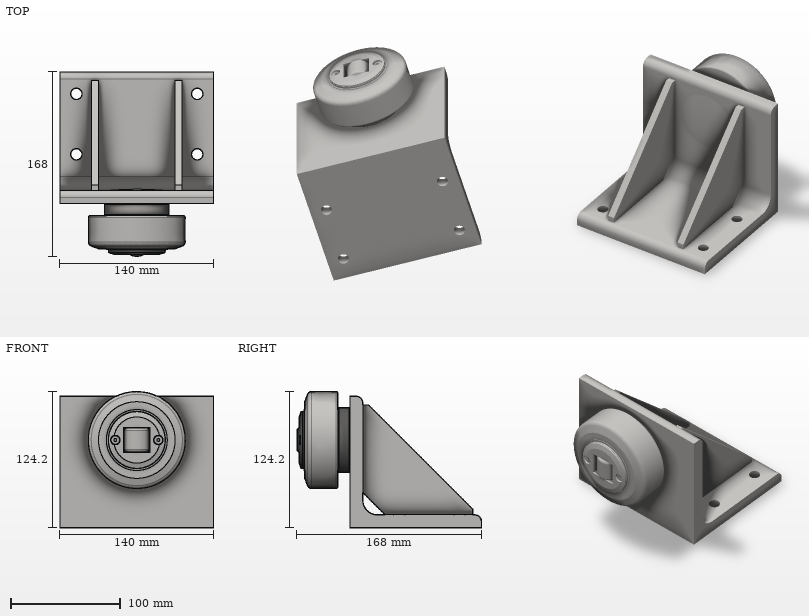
import cadquery as cq
import math

bracket_width = 140.0
leg_length = 120.0
leg_thickness = 12.0
inner_radius = 13.0
toe_radius = 6.5

mount_hole_diameter = 10.11
mount_hole_half_spacing = 55.0
mount_hole_rows = (45.0, 100.0)

gusset_thickness = 6.5
gusset_center_x = 38.0
gusset_side = 100.0
gusset_tip_width = 5.0
gusset_corner_cut = 20.0

axis_height = 80.0
hub_diameter = 59.0
hub_length = 10.1
hub_chamfer = 0.5
neck_diameter = 55.3
tyre_back = 10.8
tyre_face = 41.0
tyre_diameter = 88.4
tyre_crown = 0.12
tyre_back_round = 1.8
tyre_cone_radius = 34.9
tyre_cone_angle = 20.5
tyre_front_round = 4.0
retainer_diameter = 55.5
retainer_face = 41.5
cap_diameter = 52.0
cap_step = 0.2
cap_step_position = 43.2
cap_bevel_start = 44.4
cap_face = 46.0
cap_face_radius = 21.0

dome_diameter = neck_diameter
dome_height = 1.4

window_width = 24.0
window_height = 22.6
side_roller_radius = 11.5
side_roller_length = 22.2
side_roller_round = 2.6
side_roller_reach = 48.0

screw_hole_diameter = 8.6
screw_head_diameter = 7.8
screw_socket_diameter = 2.6
screw_center_x = 19.6
screw_hole_depth = 2.5
screw_head_recess = 1.5
screw_socket_depth = 0.5


def axial_cylinder(diameter, start, end, x=0.0):
    """Cylinder parallel to the roller axis between two distances from the wall."""
    return (
        cq.Workplane("XZ", origin=(x, -start, axis_height))
        .circle(diameter / 2)
        .extrude(end - start)
    )


def revolve_about_axis(profile):
    """Revolve a YZ profile, drawn with the roller axis as local Y = 0."""
    return profile.close().revolve(360, (0, 0, 0), (1, 0, 0))


def axis_plane():
    return cq.Workplane("YZ", origin=(0, 0, axis_height))


def make_bracket():
    angle = (
        cq.Workplane("YZ")
        .polyline([
            (0, 0),
            (leg_length, 0),
            (leg_length, leg_thickness),
            (leg_thickness, leg_thickness),
            (leg_thickness, leg_length),
            (0, leg_length),
        ])
        .close()
        .extrude(bracket_width / 2, both=True)
    )
    inner_edge = cq.NearestToPointSelector((0, leg_thickness, leg_thickness))
    base_toe = cq.NearestToPointSelector((0, leg_length, leg_thickness))
    wall_toe = cq.NearestToPointSelector((0, leg_thickness, leg_length))
    angle = angle.edges(inner_edge).fillet(inner_radius)
    angle = angle.edges(base_toe).fillet(toe_radius)
    angle = angle.edges(wall_toe).fillet(toe_radius)
    hole_points = [
        (side * mount_hole_half_spacing, y)
        for side in (-1, 1)
        for y in mount_hole_rows
    ]
    holes = (
        cq.Workplane("XY")
        .pushPoints(hole_points)
        .circle(mount_hole_diameter / 2)
        .extrude(leg_thickness)
    )
    return angle.cut(holes)


def make_gusset(center_x):
    near = leg_thickness
    far = leg_thickness + gusset_side
    tip = leg_thickness + gusset_tip_width
    cut = leg_thickness + gusset_corner_cut
    return (
        cq.Workplane("YZ", origin=(center_x, 0, 0))
        .polyline([(near, cut), (near, far), (tip, far), (far, tip), (far, near), (cut, near)])
        .close()
        .extrude(gusset_thickness / 2, both=True)
    )


def make_dome():
    """Shallow spherical cap standing on the inner face of the wall."""
    sphere_radius = (dome_diameter**2 / 4 + dome_height**2) / (2 * dome_height)
    sphere_center = leg_thickness + dome_height - sphere_radius
    sphere = cq.Workplane("XY", origin=(0, sphere_center, axis_height)).sphere(sphere_radius)
    blank = axial_cylinder(dome_diameter, -leg_thickness - dome_height, -leg_thickness / 2)
    return blank.intersect(sphere)


def make_hub():
    return axial_cylinder(hub_diameter, 0, hub_length).edges("%CIRCLE").chamfer(hub_chamfer)


def make_tyre():
    """Crowned main roller with a rounded back edge and a conical front."""
    edge_radius = tyre_diameter / 2 - tyre_crown
    cone_depth = (edge_radius - tyre_cone_radius) * math.tan(math.radians(tyre_cone_angle))
    cone_edge = tyre_face - cone_depth
    tyre = revolve_about_axis(
        axis_plane()
        .moveTo(-tyre_back, 0)
        .lineTo(-tyre_back, edge_radius)
        .threePointArc((-(tyre_back + cone_edge) / 2, tyre_diameter / 2), (-cone_edge, edge_radius))
        .lineTo(-tyre_face, tyre_cone_radius)
        .lineTo(-tyre_face, 0)
    )
    back_edge = cq.NearestToPointSelector((0, -tyre_back, axis_height))
    front_edge = cq.NearestToPointSelector((0, -cone_edge, axis_height))
    return tyre.edges(back_edge).fillet(tyre_back_round).edges(front_edge).fillet(tyre_front_round)


def make_cap():
    cap_radius = cap_diameter / 2
    stepped_radius = cap_radius - cap_step
    return revolve_about_axis(
        axis_plane()
        .moveTo(-tyre_back, 0)
        .lineTo(-tyre_back, cap_radius)
        .lineTo(-cap_step_position, cap_radius)
        .lineTo(-cap_step_position, stepped_radius)
        .lineTo(-cap_bevel_start, stepped_radius)
        .lineTo(-cap_face, cap_face_radius)
        .lineTo(-cap_face, 0)
    )


def make_window():
    """Rectangular pocket reaching down to the side roller's own axis."""
    depth = cap_face - (side_roller_reach - side_roller_radius)
    return (
        cq.Workplane("XZ", origin=(0, -cap_face, axis_height))
        .rect(window_width, window_height)
        .extrude(-depth)
    )


def make_side_roller():
    """Vertical roller whose front stands out of the cap window."""
    center_y = side_roller_radius - side_roller_reach
    return (
        cq.Workplane("XY", origin=(0, center_y, axis_height - side_roller_length / 2))
        .circle(side_roller_radius)
        .extrude(side_roller_length)
        .edges("%CIRCLE")
        .fillet(side_roller_round)
    )


def make_screw_cut(x):
    """Space around and above one sunken screw head, including its socket."""
    floor = cap_face - screw_hole_depth
    head_face = cap_face - screw_head_recess
    hole = axial_cylinder(screw_hole_diameter, floor, cap_face, x)
    head = axial_cylinder(screw_head_diameter, floor, head_face, x)
    socket = axial_cylinder(screw_socket_diameter, head_face - screw_socket_depth, head_face, x)
    return hole.cut(head).union(socket)


def make_roller():
    roller = (
        make_hub()
        .union(axial_cylinder(neck_diameter, 0, tyre_back))
        .union(make_tyre())
        .union(axial_cylinder(retainer_diameter, tyre_back, retainer_face))
        .union(make_cap())
        .cut(make_window())
        .union(make_side_roller())
    )
    for side in (-1, 1):
        roller = roller.cut(make_screw_cut(side * screw_center_x))
    return roller


result = make_bracket()
for gusset_side_sign in (-1, 1):
    result = result.union(make_gusset(gusset_side_sign * gusset_center_x))
result = result.union(make_dome()).union(make_roller())